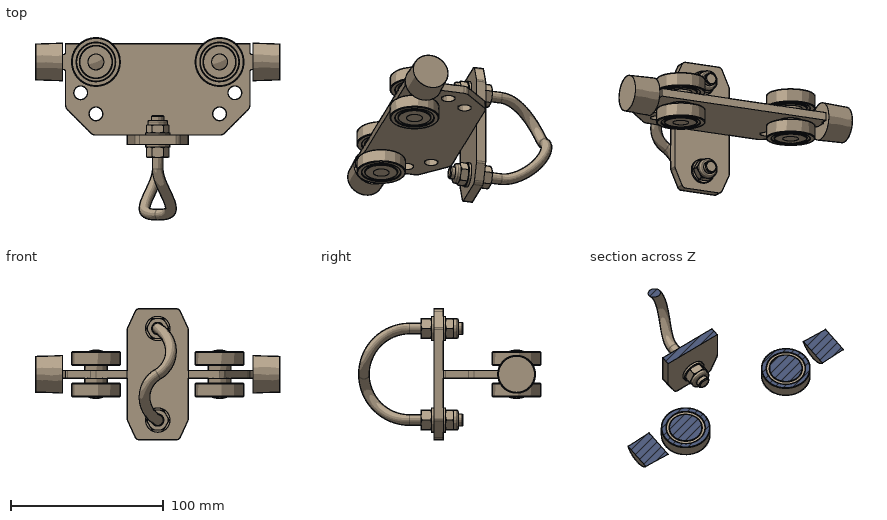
import cadquery as cq
import math


body_width = 121.0
body_depth = 60.0
body_thickness = 5.2
body_corner_cut = 18.0
body_corner_radius = 5.0
side_hole_diameter = 8.8
side_holes = [(50.5, 27.8), (40.5, 14.0)]
selection_margin = 0.5

roller_x = 40.5
roller_y = 48.0
roller_diameter = 32.0
roller_width = 9.0
roller_outer_z = 14.8
roller_edge_chamfer = 0.5
seal_inner_diameter = 21.0
seal_outer_diameter = 26.0
seal_depth = 0.5
seal_wall_slope = 0.4
spacer_diameter = 15.0
rivet_head_diameter = 10.4
rivet_head_height = 1.1

overall_width = 160.0
bumper_length = 17.75
bumper_inner_diameter = 24.8
bumper_outer_diameter = 23.6
tab_width = 10.0
tab_root_radius = 1.0
tab_embedment = 5.0

mount_width = 40.0
mount_height = 86.0
mount_thickness = 6.2
mount_cut_x = 6.0
mount_cut_z = 13.0
mount_corner_radius = 3.0

rod_diameter = 7.1
thread_diameter = 8.0
thread_end_y = 13.0
thread_end_chamfer = 0.6
leg_z = 30.0
bend_start_y = -22.0
twist_radius = leg_z / math.sqrt(3)
bend_points = 16

washer_diameter = 16.0
washer_thickness = 1.6
nut_across_flats = 13.0
nut_across_corners = nut_across_flats / math.cos(math.pi / 6)
nut_chamfer_slope = math.tan(math.pi / 6)
nut_face_diameter = 13.4
plain_nut_height = 6.7
lock_nut_hex_height = 5.2
lock_collar_diameter = 13.0
lock_collar_height = 3.0
lock_collar_radius = 1.2
thread_recess = 1.0


def cylinder_y(diameter, start_y, end_y):
    """Cylinder along Y between two Y positions, centred on x = z = 0."""
    plane = cq.Workplane("XZ", origin=(0, start_y, 0))
    return plane.circle(diameter / 2).extrude(start_y - end_y)


def box_around(centre, size_x, size_y):
    """Selector for the plate edges inside a rectangle, widened a little on every side."""
    x, y = centre
    reach_x = size_x / 2 + selection_margin
    reach_y = size_y / 2 + selection_margin
    return cq.selectors.BoxSelector(
        (x - reach_x, y - reach_y, -body_thickness),
        (x + reach_x, y + reach_y, body_thickness),
    )


def make_body_plate():
    half_width = body_width / 2
    outline = [
        (-half_width, body_depth),
        (half_width, body_depth),
        (half_width, body_corner_cut),
        (half_width - body_corner_cut, 0),
        (-half_width + body_corner_cut, 0),
        (-half_width, body_corner_cut),
    ]
    plate = cq.Workplane("XY").polyline(outline).close().extrude(body_thickness / 2, both=True)
    cut_corners = box_around((0, body_corner_cut / 2), body_width, body_corner_cut)
    plate = plate.edges("|Z").edges(cut_corners).fillet(body_corner_radius)

    tab_span = overall_width - 2 * bumper_length + 2 * tab_embedment
    tabs = cq.Workplane("XY").center(0, roller_y).rect(tab_span, tab_width)
    plate = plate.union(tabs.extrude(body_thickness / 2, both=True))
    for side in (-1, 1):
        tab_roots = box_around((side * half_width, roller_y), 0, tab_width)
        plate = plate.edges("|Z").edges(tab_roots).fillet(tab_root_radius)

    hole_centres = [(side * x, y) for side in (-1, 1) for x, y in side_holes]
    holes = cq.Workplane("XY").pushPoints(hole_centres).circle(side_hole_diameter / 2)
    return plate.cut(holes.extrude(body_thickness, both=True))


def make_seal_groove():
    """Shallow ring with sloping walls, cut downward from z = 0."""
    inner = seal_inner_diameter / 2
    outer = seal_outer_diameter / 2
    section = [
        (inner, 0),
        (outer, 0),
        (outer - seal_wall_slope, -seal_depth),
        (inner + seal_wall_slope, -seal_depth),
    ]
    return cq.Workplane("XZ").polyline(section).close().revolve(360, (0, 0), (0, 1))


def make_rivet_head():
    """Domed head standing on z = 0."""
    radius = rivet_head_diameter / 2
    dome_radius = (radius**2 + rivet_head_height**2) / (2 * rivet_head_height)
    half_angle = math.asin(radius / dome_radius) / 2
    rim_middle = (
        dome_radius * math.sin(half_angle),
        rivet_head_height - dome_radius * (1 - math.cos(half_angle)),
    )
    section = cq.Workplane("XZ").lineTo(radius, 0)
    section = section.threePointArc(rim_middle, (0, rivet_head_height)).close()
    return section.revolve(360, (0, 0), (0, 1))


def make_roller():
    """Bearing, spacer and rivet head above the body plate, on the Z axis."""
    inner_z = roller_outer_z - roller_width
    roller = cq.Workplane("XY", origin=(0, 0, inner_z)).circle(roller_diameter / 2).extrude(roller_width)
    roller = roller.edges().chamfer(roller_edge_chamfer)
    groove = make_seal_groove()
    roller = roller.cut(groove.translate((0, 0, roller_outer_z)))
    roller = roller.cut(groove.mirror("XY").translate((0, 0, inner_z)))
    spacer = cq.Workplane("XY").circle(spacer_diameter / 2).extrude(inner_z)
    roller = roller.union(spacer)
    return roller.union(make_rivet_head().translate((0, 0, roller_outer_z)))


def make_bumper():
    """Tapered buffer at the +X end."""
    inner_x = overall_width / 2 - bumper_length
    base = cq.Workplane("YZ", origin=(inner_x, roller_y, 0)).circle(bumper_inner_diameter / 2)
    return base.workplane(offset=bumper_length).circle(bumper_outer_diameter / 2).loft()


def make_mount_plate():
    half_width = mount_width / 2
    half_height = mount_height / 2
    corner = [
        (half_width, half_height - mount_cut_z),
        (half_width - mount_cut_x, half_height),
    ]
    right_side = [(x, -z) for x, z in reversed(corner)] + corner
    outline = right_side + [(-x, -z) for x, z in right_side]
    plate = cq.Workplane("XZ").polyline(outline).close().extrude(mount_thickness)
    return plate.edges("|Y").fillet(mount_corner_radius)


def bend_centre(turn):
    """Centreline of the upper half bend: round seen along X, a 120 degree arc seen along Y."""
    z = leg_z * math.cos(turn)
    x = math.sqrt(twist_radius**2 - (z - leg_z / 2) ** 2) - twist_radius / 2
    return cq.Vector(x, bend_start_y - leg_z * math.sin(turn), z)


def make_half_bend():
    turns = [math.pi / 2 * i / bend_points for i in range(bend_points + 1)]
    start_tangent = cq.Vector(0, -leg_z, 0)
    middle_tangent = cq.Vector(-leg_z * math.tan(math.pi / 3), 0, -leg_z)
    path = cq.Edge.makeSpline(
        [bend_centre(turn) for turn in turns],
        tangents=[start_tangent, middle_tangent],
        parameters=turns,
        scale=False,
    )
    section = cq.Workplane("XZ", origin=(0, bend_start_y, leg_z)).circle(rod_diameter / 2)
    return section.sweep(cq.Workplane(path))


def make_hexagon(start_y, end_y):
    """Nut blank between two Y positions, chamfered at both ends, corners on +X and -X."""
    blank = cq.Workplane("XZ", origin=(0, start_y, 0)).polygon(6, nut_across_corners)
    blank = blank.extrude(start_y - end_y)
    chamfer_width = (nut_across_corners - nut_face_diameter) / 2
    envelope = cylinder_y(nut_across_corners, start_y, end_y)
    envelope = envelope.edges().chamfer(chamfer_width * nut_chamfer_slope, chamfer_width)
    return blank.intersect(envelope)


def make_leg():
    """Straight rod, thread, washers and nuts of one U-bolt leg, centred on x = z = 0."""
    front_washer_y = -mount_thickness - washer_thickness
    front_nut_y = front_washer_y - plain_nut_height
    collar_y = washer_thickness + lock_nut_hex_height
    collar_end_y = collar_y + lock_collar_height

    collar = cylinder_y(lock_collar_diameter, collar_y, collar_end_y)
    collar = collar.faces(">Y").edges().fillet(lock_collar_radius)
    bore = cylinder_y(thread_diameter, front_nut_y, front_nut_y + thread_recess)
    thread = cylinder_y(thread_diameter, front_nut_y + thread_recess, thread_end_y)
    thread = thread.faces(">Y").edges().chamfer(thread_end_chamfer)

    leg = cylinder_y(washer_diameter, front_washer_y, -mount_thickness)
    leg = leg.union(make_hexagon(front_nut_y, front_washer_y)).cut(bore)
    leg = leg.union(cylinder_y(washer_diameter, 0, washer_thickness))
    leg = leg.union(make_hexagon(washer_thickness, collar_y)).union(collar)
    leg = leg.union(thread)
    return leg.union(cylinder_y(rod_diameter, bend_start_y, 0))


def make_u_bolt():
    half = make_leg().translate((0, 0, leg_z)).union(make_half_bend())
    return half.union(half.rotate((0, 0, 0), (0, 1, 0), 180))


def make_part():
    part = make_body_plate()
    roller = make_roller()
    roller_pair = roller.union(roller.mirror("XY"))
    bumper = make_bumper()
    for side in (-1, 1):
        part = part.union(roller_pair.translate((side * roller_x, roller_y, 0)))
    part = part.union(bumper).union(bumper.mirror("YZ"))
    return part.union(make_mount_plate()).union(make_u_bolt())


result = make_part()